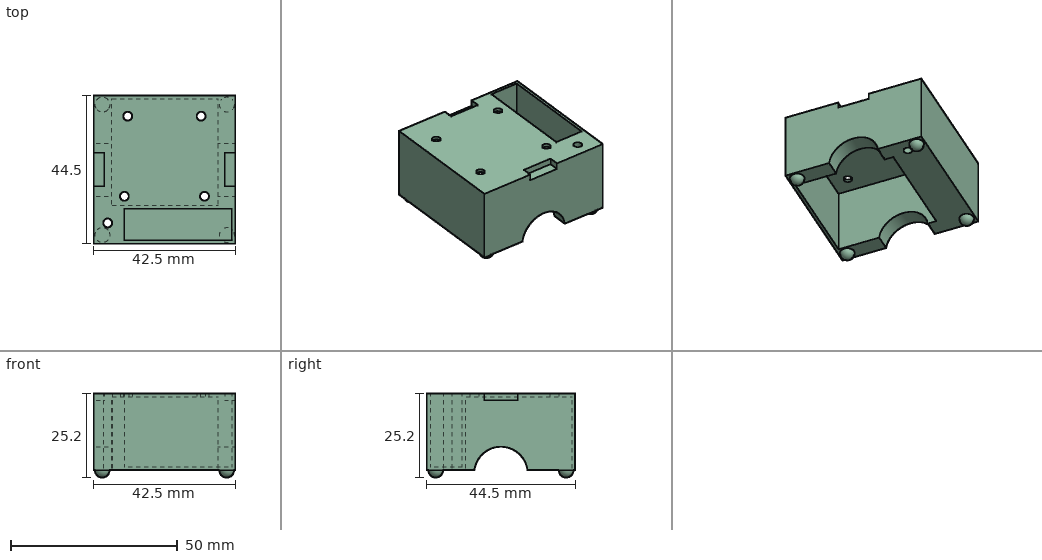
import cadquery as cq

LENGTH_X = 42.5
LENGTH_Y = 44.5
HEIGHT = 23.0
CENTER_X = LENGTH_X / 2
CENTER_Y = LENGTH_Y / 2

THIN_WALL = 1.0
SIDE_WALL = 5.25

POCKET_X = 32.25
POCKET_Y = 9.5

HOLE_DIAMETER = 2.6
HOLE_ROW_GAP = 24.0
FRONT_HOLE_Y = 14.25
FRONT_HOLE_SPACING = 24.0
REAR_HOLE_SPACING = 22.0
CORNER_HOLE = (4.25, 6.25)

NOTCH_X = 3.2
NOTCH_Y = 10.0
NOTCH_DEPTH = 2.0

ARCH_RADIUS = 8.0
ARCH_RISE = 7.0

FOOT_RADIUS = 2.23
FOOT_INSET_X = 2.6
FOOT_INSET_Y = 2.7


def box(x, y, z, size_x, size_y, size_z):
    """Box whose lower front left corner is at (x, y, z)."""
    return cq.Workplane("XY").box(size_x, size_y, size_z, centered=False).translate((x, y, z))


def cavity():
    """Space under the top plate, open at the bottom, behind the pocket's rear wall."""
    front = THIN_WALL + POCKET_Y + THIN_WALL
    size_x = LENGTH_X - 2 * SIDE_WALL
    size_y = LENGTH_Y - THIN_WALL - front
    return box(SIDE_WALL, front, 0, size_x, size_y, HEIGHT - THIN_WALL)


def pocket():
    """Front pocket, open at the top, with thin front, right and bottom walls."""
    left = LENGTH_X - THIN_WALL - POCKET_X
    return box(left, THIN_WALL, THIN_WALL, POCKET_X, POCKET_Y, HEIGHT - THIN_WALL)


def notch(left):
    """Notch in a top side edge, starting at the given X."""
    return box(left, CENTER_Y - NOTCH_Y / 2, HEIGHT - NOTCH_DEPTH, NOTCH_X, NOTCH_Y, NOTCH_DEPTH)


def arch():
    """Cylinder along X that cuts an arch through both side walls."""
    return (
        cq.Workplane("YZ")
        .center(CENTER_Y, ARCH_RISE - ARCH_RADIUS)
        .circle(ARCH_RADIUS)
        .extrude(LENGTH_X)
    )


def holes():
    """Vertical through holes: two rows centred in X, plus the corner hole."""
    points = [CORNER_HOLE]
    rows = (
        (FRONT_HOLE_Y, FRONT_HOLE_SPACING),
        (FRONT_HOLE_Y + HOLE_ROW_GAP, REAR_HOLE_SPACING),
    )
    for y, spacing in rows:
        for side in (-1, 1):
            points.append((CENTER_X + side * spacing / 2, y))
    return cq.Workplane("XY").pushPoints(points).circle(HOLE_DIAMETER / 2).extrude(HEIGHT)


def foot(x, y):
    """Half ball that hangs below the block's bottom plane."""
    ball = cq.Workplane("XY").sphere(FOOT_RADIUS)
    upper_half = box(-FOOT_RADIUS, -FOOT_RADIUS, 0, 2 * FOOT_RADIUS, 2 * FOOT_RADIUS, FOOT_RADIUS)
    return ball.cut(upper_half).translate((x, y, 0))


body = box(0, 0, 0, LENGTH_X, LENGTH_Y, HEIGHT)
body = body.cut(cavity()).cut(pocket()).cut(arch()).cut(holes())
body = body.cut(notch(0)).cut(notch(LENGTH_X - NOTCH_X))

for foot_x in (FOOT_INSET_X, LENGTH_X - FOOT_INSET_X):
    for foot_y in (FOOT_INSET_Y, LENGTH_Y - FOOT_INSET_Y):
        body = body.union(foot(foot_x, foot_y))

result = body